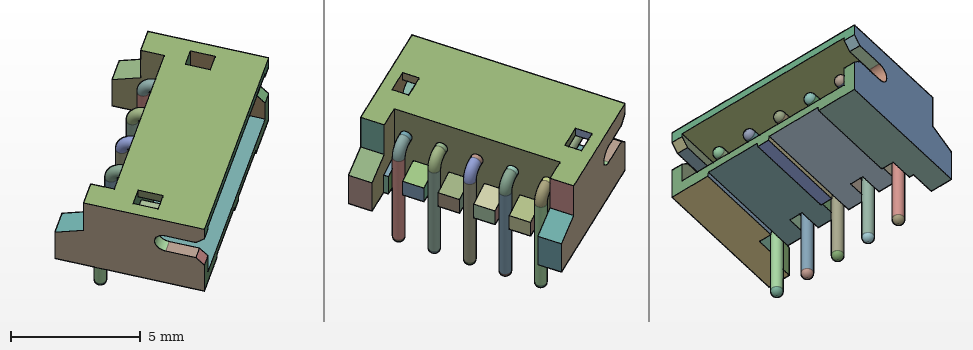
import cadquery as cq
import math


housing_length = 6.0
housing_width = 9.0
housing_height = 3.7
half_width = housing_width / 2

ear_width = 1.0
ear_rear_height = 1.57
ear_slope_top = 2.06
ear_upper_x = 1.15
rear_wall_x = 2.1
ear_gap = housing_width - 2 * ear_width

cavity_start_x = 3.0
side_wall = 0.5
roof_thickness = 0.4
floor_top = 0.6
cavity_width = housing_width - 2 * side_wall

window_length = 1.0
window_width = 0.7

slot_start_x = 4.0
slot_height = 0.9
slot_z = 2.35
slot_mouth_chamfer = 0.34

pin_count = 5
pin_pitch = 1.5
pin_diameter = 0.5
pin_radius = pin_diameter / 2
pin_tail_x = 1.4
pin_tail_z = -2.7
pin_mating_z = 2.4
pin_mating_x = 5.2
pin_bend_radius = 0.5
pin_tip_fillet = 0.24
pin_span = (pin_count - 1) * pin_pitch
pin_positions = [i * pin_pitch - pin_span / 2 for i in range(pin_count)]

ledge_rear_x = 1.1
ledge_rear_top = 0.96
ledge_front_top = 1.17
ledge_slot_width = 0.6

recess_height = 0.2
recess_draft_angle = 10.0
recess_roof_width = pin_span / 2 - ledge_slot_width
recess_mouth_width = recess_roof_width + 2 * recess_height * math.tan(math.radians(recess_draft_angle))


def box(x_start, x_end, width, z_start, z_end, y_center=0.0):
    """Box between two X and two Z limits, centred on y_center."""
    return (
        cq.Workplane("XY")
        .box(x_end - x_start, width, z_end - z_start, centered=(False, True, False))
        .translate((x_start, y_center, z_start))
    )


def extrude_side_profile(points, width):
    """Extrude a closed XZ outline symmetrically about the Y mid-plane."""
    return cq.Workplane("XZ").polyline(points).close().extrude(width / 2, both=True)


def make_shell():
    """Housing with rear ears and an open mating cavity."""
    outline = [
        (0, 0),
        (housing_length, 0),
        (housing_length, housing_height),
        (ear_upper_x, housing_height),
        (ear_upper_x, ear_slope_top),
        (0, ear_rear_height),
    ]
    shell = extrude_side_profile(outline, housing_width)
    rear_opening = box(0, rear_wall_x, ear_gap, 0, housing_height)
    cavity_top = housing_height - roof_thickness
    cavity = box(cavity_start_x, housing_length, cavity_width, floor_top, cavity_top)
    return shell.cut(rear_opening).cut(cavity)


def cut_latch_windows(housing):
    """Cut two rectangular openings through the cavity roof."""
    window_end_x = cavity_start_x + window_length
    window_y = (cavity_width - window_width) / 2
    roof_underside = housing_height - roof_thickness
    for y in (-window_y, window_y):
        housing = housing.cut(
            box(cavity_start_x, window_end_x, window_width, roof_underside, housing_height, y)
        )
    return housing


def make_keying_slot():
    """Round-ended slot with a flared mouth, spanning both side walls."""
    slot_radius = slot_height / 2
    slot_bottom = slot_z - slot_radius
    slot_top = slot_z + slot_radius
    arc_end_x = slot_start_x + slot_radius
    flare_x = housing_length - slot_mouth_chamfer
    return (
        cq.Workplane("XZ")
        .moveTo(arc_end_x, slot_bottom)
        .lineTo(flare_x, slot_bottom)
        .lineTo(housing_length, slot_bottom - slot_mouth_chamfer)
        .lineTo(housing_length, slot_top + slot_mouth_chamfer)
        .lineTo(flare_x, slot_top)
        .lineTo(arc_end_x, slot_top)
        .threePointArc((slot_start_x, slot_z), (arc_end_x, slot_bottom))
        .close()
        .extrude(half_width, both=True)
    )


def make_ledge():
    """Sloped ledge at the foot of the rear wall, slotted around each pin."""
    outline = [
        (ledge_rear_x, 0),
        (rear_wall_x, 0),
        (rear_wall_x, ledge_front_top),
        (ledge_rear_x, ledge_rear_top),
    ]
    ledge = extrude_side_profile(outline, ear_gap)
    for y in pin_positions:
        ledge = ledge.cut(box(ledge_rear_x, rear_wall_x, ledge_slot_width, 0, ledge_front_top, y))
    return ledge


def make_recess(y):
    """Drafted recess running the whole length of the underside, widest at the seating plane."""
    half_mouth = recess_mouth_width / 2
    half_roof = recess_roof_width / 2
    outline = [
        (y - half_mouth, 0),
        (y + half_mouth, 0),
        (y + half_roof, recess_height),
        (y - half_roof, recess_height),
    ]
    return cq.Workplane("YZ").polyline(outline).close().extrude(housing_length)


def make_pin(y):
    """Round pin bent from the vertical tail to the horizontal mating end, with rounded tips."""
    bend_start_z = pin_mating_z - pin_bend_radius
    bend_end_x = pin_tail_x + pin_bend_radius
    tail = (
        cq.Workplane("XY", origin=(pin_tail_x, y, pin_tail_z))
        .circle(pin_radius)
        .extrude(bend_start_z - pin_tail_z)
        .faces("<Z")
        .edges()
        .fillet(pin_tip_fillet)
    )
    bend = (
        cq.Workplane("XY", origin=(pin_tail_x, y, bend_start_z))
        .circle(pin_radius)
        .revolve(90, (pin_bend_radius, 0, 0), (pin_bend_radius, 1, 0))
    )
    mating_end = (
        cq.Workplane("YZ", origin=(bend_end_x, y, pin_mating_z))
        .circle(pin_radius)
        .extrude(pin_mating_x - bend_end_x)
        .faces(">X")
        .edges()
        .fillet(pin_tip_fillet)
    )
    return tail.union(bend).union(mating_end)


housing = cut_latch_windows(make_shell())
housing = housing.cut(make_keying_slot())
housing = housing.union(make_ledge())
for recess_y in (-pin_span / 4, pin_span / 4):
    housing = housing.cut(make_recess(recess_y))

result = housing
for pin_y in pin_positions:
    result = result.union(make_pin(pin_y))